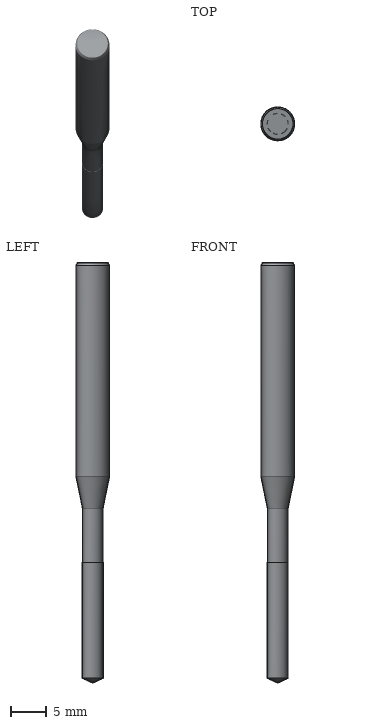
import cadquery as cq
import math

overall_length = 59.4
shank_diameter = 4.78
shank_length = 30.2
shank_chamfer_height = 0.4
shank_chamfer_width = 0.23

neck_diameter = 2.93
taper_length = 4.5

cutter_diameter = 2.97
cutter_length = 17.05
point_angle = 130.0

point_height = cutter_diameter / 2 / math.tan(math.radians(point_angle / 2))
shank_bottom = overall_length - shank_length
taper_bottom = shank_bottom - taper_length


def revolve_profile(points):
    """Revolve a closed (radius, height) outline about the Z axis."""
    return cq.Workplane("XZ").polyline(points).close().revolve(360, (0, 0, 0), (0, 1, 0))


def make_holder():
    """Chamfered shank that tapers down to a straight neck."""
    shank_radius = shank_diameter / 2
    neck_radius = neck_diameter / 2
    return revolve_profile([
        (0, cutter_length),
        (neck_radius, cutter_length),
        (neck_radius, taper_bottom),
        (shank_radius, shank_bottom),
        (shank_radius, overall_length - shank_chamfer_height),
        (shank_radius - shank_chamfer_width, overall_length),
        (0, overall_length),
    ])


def make_cutter():
    """Straight cylindrical cutting end with a conical point."""
    cutter_radius = cutter_diameter / 2
    return revolve_profile([
        (0, 0),
        (cutter_radius, point_height),
        (cutter_radius, cutter_length),
        (0, cutter_length),
    ])


holder = make_holder()
cutter = make_cutter()

result = cq.Compound.makeCompound([holder.val(), cutter.val()])